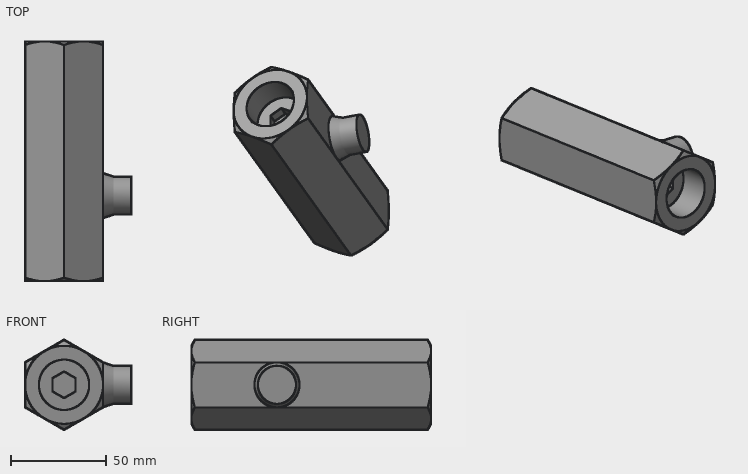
import cadquery as cq
import math

body_length = 126.0
body_corners = 47.4
corner_factor = 2 / math.sqrt(3)
body_flats = body_corners / corner_factor
end_chamfer_angle = 30.0

bore_diameter = 26.5
bore_depth = 17.0
socket_flats = 12.1
socket_depth = 6.3

outlet_y = -18.0
outlet_diameter = 20.0
outlet_end_x = 56.0 - body_flats / 2
neck_base_diameter = body_corners / 2
neck_length = 5.5

front_y = -body_length / 2


def hexagon_prism(flats, start_y, length):
    """Hexagonal prism running along +Y, with corners at top and bottom."""
    plane = cq.Plane(origin=(0, start_y, 0), xDir=(0, 0, 1), normal=(0, 1, 0))
    return cq.Workplane(plane).polygon(6, flats * corner_factor).extrude(length)


def chamfer_envelope():
    """Turned blank whose conical ends trim the hexagon corners."""
    face_radius = body_flats / 2
    corner_radius = body_corners / 2
    chamfer_length = (corner_radius - face_radius) * math.tan(math.radians(end_chamfer_angle))
    half_length = body_length / 2
    clearance = 1.3
    blank_radius = corner_radius + clearance
    shoulder_y = half_length - chamfer_length * (blank_radius - face_radius) / (corner_radius - face_radius)
    return (
        cq.Workplane("XY")
        .moveTo(0, -half_length)
        .lineTo(face_radius, -half_length)
        .lineTo(blank_radius, -shoulder_y)
        .lineTo(blank_radius, shoulder_y)
        .lineTo(face_radius, half_length)
        .lineTo(0, half_length)
        .close()
        .revolve(360, (0, 0, 0), (0, 1, 0))
    )


def side_outlet():
    """Tapered neck and straight spigot, turned about an axis along X."""
    flat_x = body_flats / 2
    return (
        cq.Workplane("XY", origin=(0, outlet_y, 0))
        .moveTo(0, 0)
        .lineTo(0, neck_base_diameter / 2)
        .lineTo(flat_x, neck_base_diameter / 2)
        .lineTo(flat_x + neck_length, outlet_diameter / 2)
        .lineTo(outlet_end_x, outlet_diameter / 2)
        .lineTo(outlet_end_x, 0)
        .close()
        .revolve(360, (0, 0, 0), (1, 0, 0))
    )


def bore():
    plane = cq.Plane(origin=(0, front_y, 0), xDir=(1, 0, 0), normal=(0, 1, 0))
    return cq.Workplane(plane).circle(bore_diameter / 2).extrude(bore_depth)


body = hexagon_prism(body_flats, front_y, body_length).intersect(chamfer_envelope())
socket = hexagon_prism(socket_flats, front_y + bore_depth, socket_depth)
result = body.union(side_outlet()).cut(bore()).cut(socket)